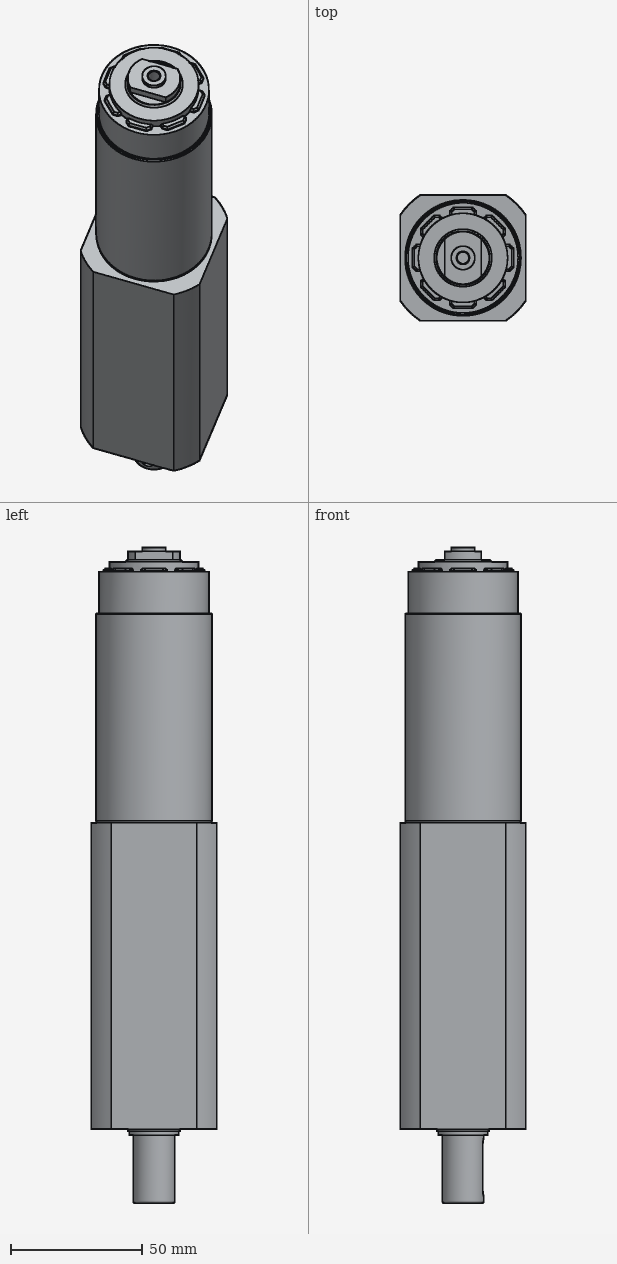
import cadquery as cq

total_height = 249.5
head_top_z = 248.0
wiper_top_z = 244.9
disc_top_z = 244.0
lug_top_z = 241.5
cap_top_z = 240.4
tube_top_z = 224.6
block_top_z = 144.8
block_bottom_z = 28.2
shoulder_z = 27.5
collar_bottom_z = 26.0

block_width = 48.0
block_corner_diameter = 58.0
tube_diameter = 44.2
tube_top_chamfer = 0.5
tube_foot_diameter = 44.0
tube_foot_height = 0.7
cap_diameter = 42.0
disc_diameter = 34.0
wiper_base_diameter = 22.0
wiper_top_diameter = 20.5

lug_count = 8
lug_width = 10.2
lug_outer_radius = 19.2
lug_corner = 1.5
lug_bevel = 0.7

shaft_diameter = 20.0
flats_width = 14.0
collar_diameter = 19.0
drive_diameter = 16.0
drive_end_radius = 1.0
boss_diameter = 9.0
bore_diameter = 4.5
bore_depth = 12.5
countersink_diameter = 5.0
countersink_angle = 90

keyway_width = 5.0
keyway_depth = 3.0
keyway_bottom_z = 2.5
keyway_top_z = 25.0
along_z = 90


def cylinder(diameter, bottom_z, top_z):
    return cq.Workplane("XY").workplane(offset=bottom_z).circle(diameter / 2).extrude(top_z - bottom_z)


def make_block():
    """Square block whose corners are turned down to a cylinder."""
    square = (
        cq.Workplane("XY")
        .workplane(offset=block_bottom_z)
        .rect(block_width, block_width)
        .extrude(block_top_z - block_bottom_z)
    )
    return square.intersect(cylinder(block_corner_diameter, block_bottom_z, block_top_z))


def make_tube():
    """Round tube with a slightly narrower foot and a chamfered top edge."""
    tube_foot_top_z = block_top_z + tube_foot_height
    foot = cylinder(tube_foot_diameter, block_top_z, tube_foot_top_z)
    tube = cylinder(tube_diameter, tube_foot_top_z, tube_top_z)
    return foot.union(tube.faces(">Z").chamfer(tube_top_chamfer))


def make_lug():
    """Radial lug pointing along +X, running inward to the axis so that it joins the disc."""
    lug = (
        cq.Workplane("XY")
        .workplane(offset=cap_top_z)
        .center(lug_outer_radius / 2, 0)
        .rect(lug_outer_radius, lug_width)
        .extrude(lug_top_z - cap_top_z)
    )
    lug = lug.edges("|Z and >X").chamfer(lug_corner)
    return lug.faces(">Z").chamfer(lug_bevel)


def make_wiper():
    """Conical lip around the shaft on top of the disc."""
    cone = cq.Solid.makeCone(
        wiper_base_diameter / 2,
        wiper_top_diameter / 2,
        wiper_top_z - disc_top_z,
        pnt=cq.Vector(0, 0, disc_top_z),
    )
    return cq.Workplane(obj=cone)


def make_housing():
    housing = make_block().union(make_tube())
    housing = housing.union(cylinder(cap_diameter, tube_top_z, cap_top_z))
    housing = housing.union(cylinder(disc_diameter, cap_top_z, disc_top_z))
    housing = housing.union(make_wiper())
    lug = make_lug()
    for index in range(lug_count):
        angle = index * 360 / lug_count
        housing = housing.union(lug.rotate((0, 0, 0), (0, 0, 1), angle))
    return housing.cut(cylinder(shaft_diameter, block_bottom_z, wiper_top_z))


def make_keyway():
    """Round-ended cutter that reaches from the keyway floor out past the drive end's surface."""
    return (
        cq.Workplane("YZ")
        .workplane(offset=drive_diameter / 2 - keyway_depth)
        .center(0, (keyway_bottom_z + keyway_top_z) / 2)
        .slot2D(keyway_top_z - keyway_bottom_z, keyway_width, along_z)
        .extrude(drive_diameter)
    )


def make_drive_end():
    drive = cylinder(drive_diameter, 0, collar_bottom_z).faces("<Z").edges().fillet(drive_end_radius)
    return drive.cut(make_keyway())


def make_head():
    """Top of the shaft with two wrench flats facing -X and +X."""
    head = cylinder(shaft_diameter, wiper_top_z, head_top_z)
    between_flats = (
        cq.Workplane("XY")
        .workplane(offset=wiper_top_z)
        .rect(flats_width, shaft_diameter)
        .extrude(head_top_z - wiper_top_z)
    )
    return head.intersect(between_flats)


def make_shaft():
    """Shaft through the whole housing, from the drive end up to the head and its bored boss."""
    shaft = cylinder(shaft_diameter, shoulder_z, wiper_top_z)
    shaft = shaft.union(cylinder(collar_diameter, collar_bottom_z, shoulder_z))
    shaft = shaft.union(make_drive_end())
    shaft = shaft.union(make_head())
    shaft = shaft.union(cylinder(boss_diameter, head_top_z, total_height))
    boss_top = shaft.faces(">Z").workplane()
    return boss_top.cskHole(bore_diameter, countersink_diameter, countersink_angle, bore_depth)


housing = make_housing()
shaft = make_shaft()
result = cq.Compound.makeCompound([housing.solids().val(), shaft.solids().val()])